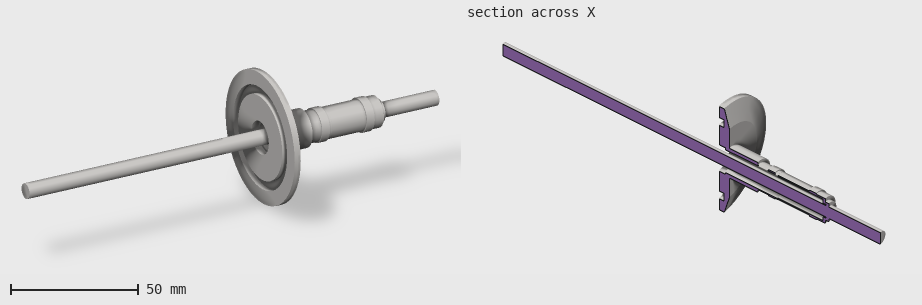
import cadquery as cq
import math


rod_diameter = 6.35
rod_length = 184.15
rod_front = -105.4

flange_diameter = 54.86
rim_thickness = 2.7
flange_thickness = 5.25
cone_angle = 15.0
cone_rise = flange_thickness - rim_thickness
cone_top_diameter = flange_diameter - 2 * cone_rise / math.tan(math.radians(cone_angle))
groove_outer_diameter = 42.7
groove_inner_diameter = 35.0
groove_depth = 2.4

boss_diameter = 16.0
boss_back = 19.05
counterbore_diameter = 13.7
counterbore_depth = 3.0

insulator_diameter = 12.95
insulator_bore_diameter = 11.2
insulator_end_wall = 1.5
rod_clearance_diameter = 7.0
band_diameter = 13.1
band_bore_diameter = 11.8
front_band_back = 28.6
rear_band_front = 44.0
rear_band_back = 51.9

collar_diameter = 14.1
collar_width = 3.5
collar_fronts = (23.9, rear_band_front)

cap_diameter = 9.7
cap_thickness = 1.7


def cylinder(diameter, front, back):
    """Solid cylinder on the Y axis between two Y positions."""
    return cq.Workplane("XZ", origin=(0, front, 0)).circle(diameter / 2).extrude(front - back)


def make_flange():
    rim_radius = flange_diameter / 2
    profile = (
        cq.Workplane("XY")
        .moveTo(0, 0)
        .lineTo(rim_radius, 0)
        .lineTo(rim_radius, rim_thickness)
        .lineTo(cone_top_diameter / 2, flange_thickness)
        .lineTo(0, flange_thickness)
        .close()
    )
    flange = profile.revolve(360, (0, 0, 0), (0, 1, 0))
    groove = cylinder(groove_outer_diameter, 0, groove_depth).cut(
        cylinder(groove_inner_diameter, 0, groove_depth)
    )
    return flange.cut(groove)


def make_sleeve():
    front_band = cylinder(band_diameter, 0, front_band_back)
    insulator = cylinder(insulator_diameter, front_band_back, rear_band_front)
    rear_band = cylinder(band_diameter, rear_band_front, rear_band_back)
    cap = cylinder(cap_diameter, rear_band_back, rear_band_back + cap_thickness)
    sleeve = front_band.union(insulator).union(rear_band).union(cap)
    for front in collar_fronts:
        sleeve = sleeve.union(cylinder(collar_diameter, front, front + collar_width))
    return sleeve


def make_cavity():
    """Stepped hollow from the sealing face up to the underside of the cap."""
    counterbore = cylinder(counterbore_diameter, 0, counterbore_depth)
    band_bore = cylinder(band_bore_diameter, 0, front_band_back)
    insulator_bore = cylinder(insulator_bore_diameter, 0, rear_band_back - insulator_end_wall)
    rod_clearance = cylinder(rod_clearance_diameter, 0, rear_band_back)
    return counterbore.union(band_bore).union(insulator_bore).union(rod_clearance)


def make_rod():
    return cylinder(rod_diameter, rod_front, rod_front + rod_length)


boss = cylinder(boss_diameter, 0, boss_back)
solid_housing = make_flange().union(boss).union(make_sleeve())
result = solid_housing.cut(make_cavity()).union(make_rod())